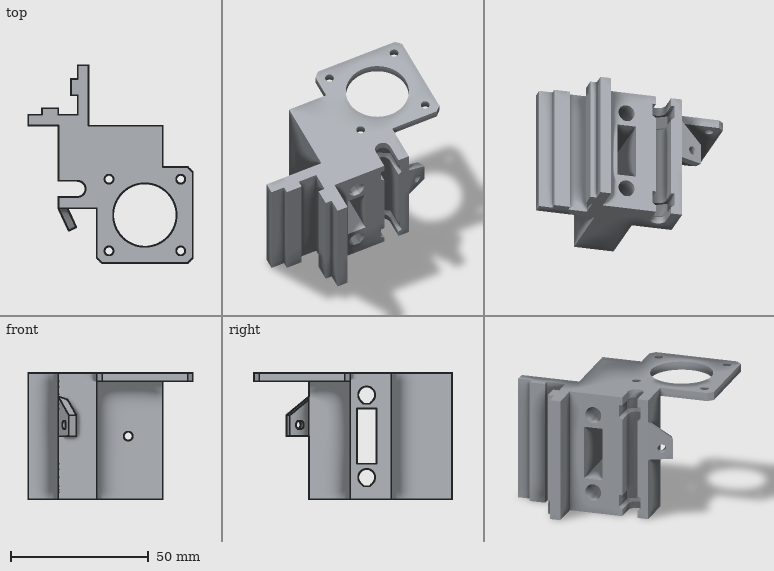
import cadquery as cq
import math


total_width = 60.0
total_depth = 72.0
height = 46.0
mid_height = height / 2

flange_thickness = 4.0
flange_reach = 11.0
rib_width = 6.0
rib_height = 2.4
rib_setback = 5.05

body_left = flange_reach
body_back = 50.0
body_right = 49.0
block_front = 19.95

plate_size = 35.0
plate_thickness = 3.1
plate_chamfer = 1.95
motor_bore_diameter = 23.0
screw_diameter = 3.2
screw_spacing = 26.1

plate_left = total_width - plate_size
plate_center = (total_width - plate_size / 2, plate_size / 2)
plate_bottom = height - plate_thickness

opening_center_y = 41.0
opening_width = 7.0
opening_height = 19.95
drop_radius = 3.0
drop_flat_depth = 3.2
drop_spacing = 29.95

rod_x = 18.0
rod_y = 27.0
rod_radius = 2.9
nut_flats = 8.2
nut_height = 4.6
nut_taper_height = 0.9
upper_nut_top = plate_bottom
nut_pitch = 34.85

cross_hole_x = 36.4

tab_angle = 25.0
tab_length = 9.0
tab_thickness = 3.0
tab_root_height = 14.4
tab_tip_height = 7.6
tab_hole_distance = 5.0
tab_hole_height = 4.1


def box(x0, x1, y0, y1, z0, z1):
    """Box between two opposite corners."""
    return cq.Workplane("XY").box(x1 - x0, y1 - y0, z1 - z0, centered=False).translate((x0, y0, z0))


def make_body():
    block = box(body_left, plate_left, block_front, body_back, 0, height)
    wall = box(plate_left, body_right, plate_size, body_back, 0, height)
    return block.union(wall)


def make_flanges():
    inner_x = 2 * flange_reach - flange_thickness
    inner_y = body_back + flange_thickness
    rib_top_y = total_depth - rib_setback
    side = box(0, 2 * flange_reach, body_back, inner_y, 0, height)
    side_rib = box(rib_setback, rib_setback + rib_width, inner_y, inner_y + rib_height, 0, height)
    rear = box(inner_x, 2 * flange_reach, body_back, total_depth, 0, height)
    rear_rib = box(inner_x - rib_height, inner_x, rib_top_y - rib_width, rib_top_y, 0, height)
    return side.union(side_rib).union(rear).union(rear_rib)


def make_plate():
    """Motor plate with three chamfered corners; the fourth lies within the body."""
    plate = box(plate_left, total_width, 0, plate_size, plate_bottom, height)
    free_corners = plate.edges("|Z").edges(">X or <Y")
    return free_corners.chamfer(plate_chamfer)


def make_plate_holes():
    pattern = cq.Workplane("XY", origin=(*plate_center, plate_bottom))
    bore = pattern.circle(motor_bore_diameter / 2).extrude(plate_thickness)
    screws = (
        pattern.rect(screw_spacing, screw_spacing, forConstruction=True)
        .vertices()
        .circle(screw_diameter / 2)
        .extrude(plate_thickness)
    )
    return bore.union(screws)


def make_drop_hole(center_z):
    """Round hole whose lower side runs on at 45 degrees to a flat."""
    tangent = drop_radius * math.sqrt(0.5)
    flat_half_width = drop_radius * math.sqrt(2) - drop_flat_depth
    return (
        cq.Workplane("YZ", origin=(0, opening_center_y, center_z))
        .moveTo(tangent, -tangent)
        .threePointArc((0, drop_radius), (-tangent, -tangent))
        .lineTo(-flat_half_width, -drop_flat_depth)
        .lineTo(flat_half_width, -drop_flat_depth)
        .close()
        .extrude(total_width)
    )


def make_cable_openings():
    openings = (
        cq.Workplane("YZ", origin=(0, opening_center_y, mid_height))
        .rect(opening_width, opening_height)
        .extrude(total_width)
    )
    for side in (-1, 1):
        openings = openings.union(make_drop_hole(mid_height + side * drop_spacing / 2))
    return openings


def nut_outline(z):
    """Hexagon around the rod axis with a corner pointing along X."""
    corner_diameter = nut_flats / math.cos(math.pi / 6)
    return cq.Workplane("XY", origin=(rod_x, rod_y, z)).polygon(6, corner_diameter)


def make_nut_pocket(top):
    """Nut seat with a tapered underside, reached by a channel of the same profile."""
    shoulder = top - nut_height
    bottom = shoulder - nut_taper_height
    seat = nut_outline(shoulder).extrude(nut_height)
    taper = (
        nut_outline(shoulder)
        .workplane(offset=-nut_taper_height)
        .circle(rod_radius)
        .loft(ruled=True)
    )
    half_flats = nut_flats / 2
    channel = (
        cq.Workplane("YZ", origin=(0, rod_y, 0))
        .polyline([
            (-half_flats, top),
            (-half_flats, shoulder),
            (-rod_radius, bottom),
            (rod_radius, bottom),
            (half_flats, shoulder),
            (half_flats, top),
        ])
        .close()
        .extrude(rod_x)
    )
    return seat.union(taper).union(channel)


def make_rod_channel():
    bore = cq.Workplane("XY", origin=(rod_x, rod_y, 0)).circle(rod_radius).extrude(height)
    entry = box(0, rod_x, rod_y - rod_radius, rod_y + rod_radius, 0, height)
    channel = bore.union(entry)
    for top in (upper_nut_top, upper_nut_top - nut_pitch):
        channel = channel.union(make_nut_pocket(top))
    return channel


def make_cross_hole():
    start = cq.Workplane("XZ", origin=(cross_hole_x, body_back, mid_height))
    return start.circle(screw_diameter / 2).extrude(body_back - plate_size)


def make_tab():
    """Tab with a sloped top edge, turned about the front left edge of the block."""
    profile = [(0, 0), (-tab_length, 0), (-tab_length, tab_tip_height), (0, tab_root_height)]
    blank = cq.Workplane("YZ").polyline(profile).close().extrude(tab_thickness)
    hole = (
        cq.Workplane("YZ")
        .center(-tab_hole_distance, tab_hole_height)
        .circle(screw_diameter / 2)
        .extrude(tab_thickness)
    )
    turned = blank.cut(hole).rotate((0, 0, 0), (0, 0, 1), tab_angle)
    return turned.translate((body_left, block_front, mid_height))


result = make_body().union(make_flanges()).union(make_plate()).union(make_tab())
for cutter in (make_plate_holes(), make_cable_openings(), make_rod_channel(), make_cross_hole()):
    result = result.cut(cutter)